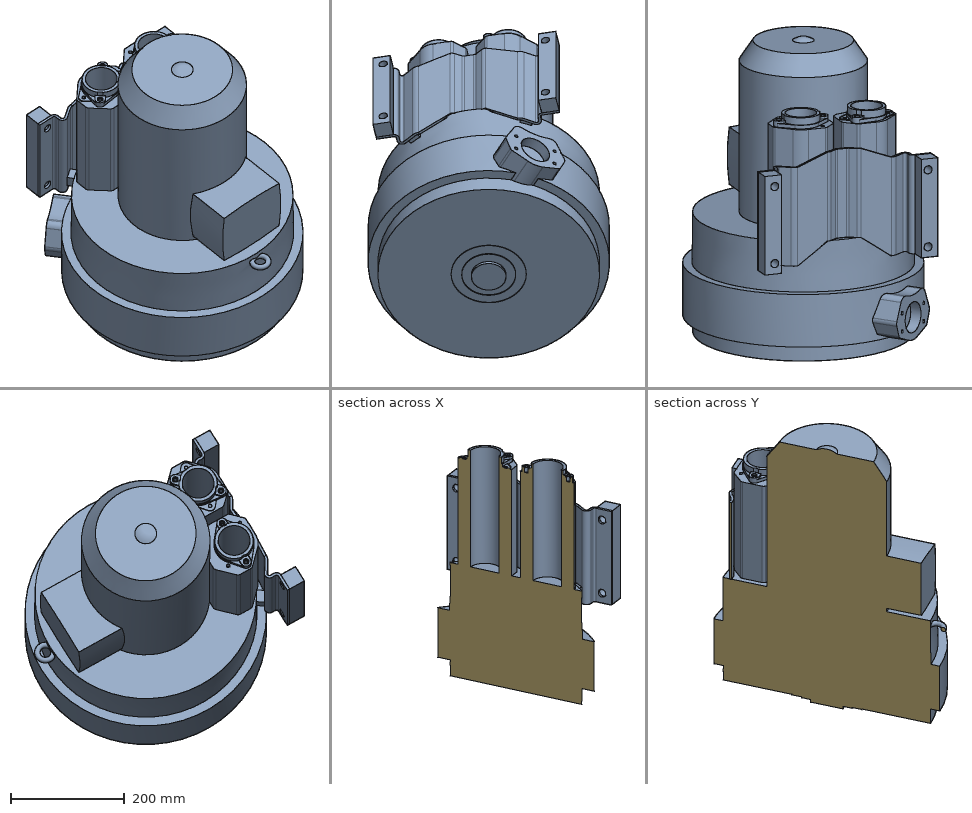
import cadquery as cq
import math


STACK = [(30.5, 5.5), (47.5, 7.0), (66.0, 8.0), (194.5, 38.5), (212.0, 134.5)]
RING_TOP_Z = STACK[-1][1]
COVER_TOP_Z = 226.5
COVER_FOOT_RADIUS = 195.5
COVER_TOP_RADIUS = 194.5
MOTOR_RADIUS = 113.0
MOTOR_SHOULDER_Z = 502.5
MOTOR_TOP_Z = 539.0
MOTOR_TOP_RADIUS = 88.5
DOME_RADIUS = 19.0
TOTAL_HEIGHT = 545.0
EDGE_MARGIN = 0.5

BOX_END_X = 177.0
BOX_CENTRE_Y = 4.5
BOX_CENTRE_Z = 289.0
BOX_HALF_WIDTH = 65.0
BOX_HALF_HEIGHT = 52.5
BOX_BULGE = 4.0
EYE_TUBE_RADIUS = 5.0
EYE_RADIUS = 14.0
EYE_X = 204.5
EYE_Z = 213.5

SILENCER_X = -143.5
SILENCER_Y = 62.0
SILENCER_TOP_Z = 431.0
SILENCER_OUTER_X = -185.0
SILENCER_INNER_X = -89.5
SILENCER_HALF_WIDTH = 54.0
INNER_CHAMFER = 31.5
NEAR_CHAMFER = 22.0
FAR_CHAMFER = 37.0
INNER_FILLET = 8.5
OUTER_FILLET = 6.5
FAR_FILLET = 36.0

PORT_RADIUS = 28.0
SCREW_DISTANCE = 41.5
SCREW_HOLE_DIAMETER = 6.0
SCREW_HOLE_DEPTH = 11.0
GASKET_THICKNESS = 1.5
FLANGE_HEIGHT = 6.5
LUG_HEIGHT = 11.0
COLLAR_HEIGHT = 19.5
COLLAR_RADIUS = 34.0
FLANGE_RADIUS = 35.5
LUG_RADIUS = 9.0
COUNTERBORE_DIAMETER = 10.0
COUNTERBORE_DEPTH = 2.5
GASKET_ANGLE = 90.0
FAR_FLANGE_ANGLE = 90.0
NEAR_FLANGE_ANGLE = 135.0
SPARE_HOLE_ANGLE = 45.0

SIDE_PORT_ANGLE = 218.2
SIDE_PORT_REACH = 241.0
SIDE_PORT_LENGTH = 76.5
SIDE_PORT_OFFSET = -32.0
SIDE_PORT_Z = 75.0
SIDE_PORT_DEPTH = 20.5
SIDE_PORT_FOOT_RADIUS = 41.5
SIDE_PORT_TOP = 45.0
TOP_HALF_WIDTH = 38.5
SHOULDER_HALF_WIDTH = 59.0
SHOULDER_HEIGHT = 1.5
HIP_HALF_WIDTH = 48.5
HIP_HEIGHT = -25.5
DIP_HALF_WIDTH = 27.0
DIP_DEPTH = 4.5
TOP_FILLET = 13.5
SHOULDER_FILLET = 11.0
HIP_FILLET = 5.5
SIDE_SCREW_ANGLE = 23.7

SHEET = 5.0
CHANNEL_X = -180.5
CHANNEL_HALF_WIDTH = 11.5
PANEL_X = -191.0
PANEL_INNER_Y = 28.5
PANEL_OUTER_Y = 93.5
LEG_END_X = -169.0
LEG_END_Y = 126.5
WING_X = -194.5
WING_END_Y = 163.5
LEG_BEND = 16.5
CHANNEL_BEND = 11.0
TIGHT_BEND = 6.5
BRACKET_BOTTOM_Z = 187.0
BRACKET_TOP_Z = 366.5
CREST_BOTTOM_Z = 226.0
CREST_TOP_Z = 388.5
CREST_HALF_WIDTH = 31.5
SLOPE_END_Y = 88.5
BLOCK_DEPTH = 30.0
BLOCK_WIDTH = 31.0
MOUNT_HOLE_DIAMETER = 14.5
MOUNT_HOLE_Y = 145.0
MOUNT_HOLE_HEIGHTS = [206.0, 346.5]
PAD_WIDTH = 22.0
PAD_HEIGHT = 20.0
PAD_LENGTH = 32.5
PAD_CENTRE_Z = 208.0
PAD_ALONG_LEG = 17.0


def cylinder(radius, bottom, top):
    """Upright cylinder on the Z axis."""
    return cq.Workplane("XY", origin=(0, 0, bottom)).circle(radius).extrude(top - bottom)


def polar_pair(distance, degrees):
    """Two opposite points at the given distance from the origin."""
    dx = distance * math.cos(math.radians(degrees))
    dy = distance * math.sin(math.radians(degrees))
    return [(dx, dy), (-dx, -dy)]


def round_edge(body, x, y, radius):
    """Fillet the edge parallel to the local Z axis that passes through (x, y)."""
    low = (x - EDGE_MARGIN, y - EDGE_MARGIN, -TOTAL_HEIGHT)
    high = (x + EDGE_MARGIN, y + EDGE_MARGIN, TOTAL_HEIGHT)
    near = cq.selectors.BoxSelector(low, high)
    return body.edges("|Z").edges(near).fillet(radius)


def pump_stack():
    """Base, ring, cover, motor and domed cap as one turned profile."""
    profile = cq.Workplane("XZ").moveTo(0, 0)
    underside = 0.0
    for radius, top in STACK:
        profile = profile.lineTo(radius, underside).lineTo(radius, top)
        underside = top
    dome_height = TOTAL_HEIGHT - MOTOR_TOP_Z
    sphere_radius = (DOME_RADIUS ** 2 + dome_height ** 2) / (2 * dome_height)
    return (
        profile.lineTo(COVER_FOOT_RADIUS, RING_TOP_Z)
        .lineTo(COVER_TOP_RADIUS, COVER_TOP_Z)
        .lineTo(MOTOR_RADIUS, COVER_TOP_Z)
        .lineTo(MOTOR_RADIUS, MOTOR_SHOULDER_Z)
        .lineTo(MOTOR_TOP_RADIUS, MOTOR_TOP_Z)
        .lineTo(DOME_RADIUS, MOTOR_TOP_Z)
        .radiusArc((0, TOTAL_HEIGHT), -sphere_radius)
        .close()
        .revolve(360, (0, 0, 0), (0, 1, 0))
    )


def terminal_box():
    """Box with bowed sides, running from the motor axis out to +X."""
    w = BOX_HALF_WIDTH
    h = BOX_HALF_HEIGHT
    return (
        cq.Workplane("YZ", origin=(0, BOX_CENTRE_Y, BOX_CENTRE_Z))
        .moveTo(-w, -h)
        .threePointArc((0, -h - BOX_BULGE), (w, -h))
        .threePointArc((w + BOX_BULGE, 0), (w, h))
        .threePointArc((0, h + BOX_BULGE), (-w, h))
        .threePointArc((-w - BOX_BULGE, 0), (-w, -h))
        .close()
        .extrude(BOX_END_X)
    )


def eye_bolt():
    centre = cq.Vector(EYE_X, 0, EYE_Z)
    return cq.Workplane(cq.Solid.makeTorus(EYE_RADIUS, EYE_TUBE_RADIUS, centre, cq.Vector(0, 0, 1)))


def silencer_housing(side):
    """Eight-sided column; side is +1 for the +Y silencer and -1 for its mirror image."""
    near_y = SILENCER_Y - SILENCER_HALF_WIDTH
    far_y = SILENCER_Y + SILENCER_HALF_WIDTH
    corners = [
        (SILENCER_OUTER_X, far_y - FAR_CHAMFER, FAR_FILLET),
        (SILENCER_OUTER_X + FAR_CHAMFER, far_y, OUTER_FILLET),
        (SILENCER_INNER_X - INNER_CHAMFER, far_y, INNER_FILLET),
        (SILENCER_INNER_X, far_y - INNER_CHAMFER, INNER_FILLET),
        (SILENCER_INNER_X, near_y + INNER_CHAMFER, INNER_FILLET),
        (SILENCER_INNER_X - INNER_CHAMFER, near_y, INNER_FILLET),
        (SILENCER_OUTER_X + NEAR_CHAMFER, near_y, OUTER_FILLET),
        (SILENCER_OUTER_X, near_y + NEAR_CHAMFER, OUTER_FILLET),
    ]
    outline = [(x, side * y) for x, y, _ in corners]
    height = SILENCER_TOP_Z - COVER_TOP_Z
    housing = cq.Workplane("XY", origin=(0, 0, COVER_TOP_Z)).polyline(outline).close().extrude(height)
    for x, y, radius in corners:
        housing = round_edge(housing, x, side * y, radius)
    return housing


def lugged_plate(thickness, degrees):
    """Round plate drawn out to two lugs by tangent lines, centred on the Z axis."""
    lean = math.acos((FLANGE_RADIUS - LUG_RADIUS) / SCREW_DISTANCE)
    plate_x = FLANGE_RADIUS * math.cos(lean)
    plate_y = FLANGE_RADIUS * math.sin(lean)
    lug_x = SCREW_DISTANCE + LUG_RADIUS * math.cos(lean)
    lug_y = LUG_RADIUS * math.sin(lean)
    tip_x = SCREW_DISTANCE + LUG_RADIUS
    return (
        cq.Workplane("XY")
        .moveTo(plate_x, plate_y)
        .threePointArc((0, FLANGE_RADIUS), (-plate_x, plate_y))
        .lineTo(-lug_x, lug_y)
        .threePointArc((-tip_x, 0), (-lug_x, -lug_y))
        .lineTo(-plate_x, -plate_y)
        .threePointArc((0, -FLANGE_RADIUS), (plate_x, -plate_y))
        .lineTo(lug_x, -lug_y)
        .threePointArc((tip_x, 0), (lug_x, lug_y))
        .close()
        .extrude(thickness)
        .rotate((0, 0, 0), (0, 0, 1), degrees)
    )


def screw_pair(diameter, bottom, top, degrees):
    """Two upright cylinders at the screw places on either side of the Z axis."""
    return (
        cq.Workplane("XY", origin=(0, 0, bottom))
        .pushPoints(polar_pair(SCREW_DISTANCE, degrees))
        .circle(diameter / 2)
        .extrude(top - bottom)
    )


def silencer_flange(degrees):
    """Gasket, flange, raised lugs and collar, standing on z = 0 around the Z axis."""
    gasket_holes = screw_pair(SCREW_HOLE_DIAMETER, 0, GASKET_THICKNESS, GASKET_ANGLE)
    gasket = lugged_plate(GASKET_THICKNESS, GASKET_ANGLE).cut(gasket_holes)
    lugs = (
        cq.Workplane("XY")
        .slot2D(2 * (SCREW_DISTANCE + LUG_RADIUS), 2 * LUG_RADIUS)
        .extrude(LUG_HEIGHT)
        .rotate((0, 0, 0), (0, 0, 1), degrees)
    )
    head_clearance = screw_pair(2 * LUG_RADIUS, LUG_HEIGHT, COLLAR_HEIGHT, degrees)
    counterbores = screw_pair(COUNTERBORE_DIAMETER, LUG_HEIGHT - COUNTERBORE_DEPTH, LUG_HEIGHT, degrees)
    return (
        gasket.union(lugged_plate(FLANGE_HEIGHT, degrees))
        .union(lugs)
        .union(cylinder(COLLAR_RADIUS, 0, COLLAR_HEIGHT))
        .cut(head_clearance)
        .cut(counterbores)
        .cut(screw_pair(SCREW_HOLE_DIAMETER, 0, LUG_HEIGHT, degrees))
    )


def silencer(side, flange_angle):
    """Housing with its port flange; the bore runs down to the pump cover."""
    place = (SILENCER_X, side * SILENCER_Y, SILENCER_TOP_Z)
    spare_holes = screw_pair(SCREW_HOLE_DIAMETER, -SCREW_HOLE_DEPTH, 0, side * SPARE_HOLE_ANGLE)
    bore = cylinder(PORT_RADIUS, COVER_TOP_Z - SILENCER_TOP_Z, COLLAR_HEIGHT)
    return (
        silencer_housing(side)
        .cut(spare_holes.translate(place))
        .union(silencer_flange(flange_angle).translate(place))
        .cut(bore.translate(place))
    )


def place_side_port(shape):
    """Move a shape from the XY plane onto the face of the side port, keeping local Y upright."""
    turn = math.radians(SIDE_PORT_ANGLE)
    outward = cq.Vector(math.cos(turn), math.sin(turn), 0)
    sideways = cq.Vector(-math.sin(turn), math.cos(turn), 0)
    centre = outward * SIDE_PORT_REACH + sideways * SIDE_PORT_OFFSET + cq.Vector(0, 0, SIDE_PORT_Z)
    face = cq.Plane(origin=centre, xDir=sideways, normal=outward)
    return cq.Workplane(shape.val().moved(cq.Location(face)))


def side_port():
    """Block with a dipped top and a round foot concentric with the port."""
    hip_reach = math.hypot(HIP_HALF_WIDTH, HIP_HEIGHT)
    hip_angle = math.atan2(HIP_HEIGHT, HIP_HALF_WIDTH)
    tangent_angle = hip_angle - math.acos(SIDE_PORT_FOOT_RADIUS / hip_reach)
    foot_x = SIDE_PORT_FOOT_RADIUS * math.cos(tangent_angle)
    foot_y = SIDE_PORT_FOOT_RADIUS * math.sin(tangent_angle)
    block = (
        cq.Workplane("XY")
        .moveTo(-DIP_HALF_WIDTH, SIDE_PORT_TOP)
        .threePointArc((0, SIDE_PORT_TOP - DIP_DEPTH), (DIP_HALF_WIDTH, SIDE_PORT_TOP))
        .lineTo(TOP_HALF_WIDTH, SIDE_PORT_TOP)
        .lineTo(SHOULDER_HALF_WIDTH, SHOULDER_HEIGHT)
        .lineTo(HIP_HALF_WIDTH, HIP_HEIGHT)
        .lineTo(foot_x, foot_y)
        .threePointArc((0, -SIDE_PORT_FOOT_RADIUS), (-foot_x, foot_y))
        .lineTo(-HIP_HALF_WIDTH, HIP_HEIGHT)
        .lineTo(-SHOULDER_HALF_WIDTH, SHOULDER_HEIGHT)
        .lineTo(-TOP_HALF_WIDTH, SIDE_PORT_TOP)
        .close()
        .extrude(-SIDE_PORT_LENGTH)
    )
    for side in (-1, 1):
        block = round_edge(block, side * TOP_HALF_WIDTH, SIDE_PORT_TOP, TOP_FILLET)
        block = round_edge(block, side * SHOULDER_HALF_WIDTH, SHOULDER_HEIGHT, SHOULDER_FILLET)
        block = round_edge(block, side * HIP_HALF_WIDTH, HIP_HEIGHT, HIP_FILLET)
    block = block.cut(cylinder(PORT_RADIUS, -SIDE_PORT_DEPTH, 0))
    for degrees in (SIDE_SCREW_ANGLE, -SIDE_SCREW_ANGLE):
        block = block.cut(screw_pair(SCREW_HOLE_DIAMETER, -SCREW_HOLE_DEPTH, 0, degrees))
    return place_side_port(block)


def bracket_pads():
    """Two mirrored pads that join the pump cover to the sloping legs of the bracket."""
    leg_angle = math.atan2(LEG_END_Y - PANEL_OUTER_Y, LEG_END_X - PANEL_X)
    x = PANEL_X + PAD_ALONG_LEG * math.cos(leg_angle)
    y = PANEL_OUTER_Y + PAD_ALONG_LEG * math.sin(leg_angle)
    pad = (
        cq.Workplane("XY", origin=(0, -PAD_LENGTH / 2, PAD_CENTRE_Z))
        .box(PAD_WIDTH, PAD_LENGTH, PAD_HEIGHT)
        .rotate((0, 0, 0), (0, 0, 1), math.degrees(leg_angle))
        .translate((x, y, 0))
    )
    return [pad, pad.mirror("XZ")]


def make_pump():
    pump = pump_stack().union(terminal_box()).union(eye_bolt()).union(side_port())
    pump = pump.union(silencer(1, FAR_FLANGE_ANGLE)).union(silencer(-1, NEAR_FLANGE_ANGLE))
    for pad in bracket_pads():
        pump = pump.union(pad)
    return pump


def offset_path(points, distance):
    """Points of an open path shifted to its left by the distance, with mitred corners."""
    headings = []
    for start, end in zip(points, points[1:]):
        headings.append(math.atan2(end[1] - start[1], end[0] - start[0]))
    before = [headings[0]] + headings
    after = headings + [headings[-1]]
    shifted = []
    for (x, y), heading_in, heading_out in zip(points, before, after):
        half_turn = math.remainder(heading_out - heading_in, 2 * math.pi) / 2
        normal = heading_in + half_turn + math.pi / 2
        reach = distance / math.cos(half_turn)
        shifted.append((x + reach * math.cos(normal), y + reach * math.sin(normal)))
    return shifted


def bent_sheet():
    """Sheet along the bracket path, over the full height of the bracket."""
    half_path = [
        (CHANNEL_X, CHANNEL_HALF_WIDTH, CHANNEL_BEND),
        (PANEL_X, PANEL_INNER_Y, CHANNEL_BEND),
        (PANEL_X, PANEL_OUTER_Y, LEG_BEND),
        (LEG_END_X, LEG_END_Y, TIGHT_BEND),
        (WING_X, LEG_END_Y, TIGHT_BEND),
        (WING_X, WING_END_Y, 0),
    ]
    path = [(x, -y, bend) for x, y, bend in reversed(half_path)] + half_path
    points = [(x, y) for x, y, _ in path]
    bends = [bend for _, _, bend in path]
    left = offset_path(points, SHEET / 2)
    right = offset_path(points, -SHEET / 2)
    sheet = (
        cq.Workplane("XY", origin=(0, 0, BRACKET_BOTTOM_Z))
        .polyline(left + right[::-1])
        .close()
        .extrude(CREST_TOP_Z - BRACKET_BOTTOM_Z)
    )
    for i in range(1, len(path) - 1):
        run_in = cq.Vector(*points[i]) - cq.Vector(*points[i - 1])
        run_out = cq.Vector(*points[i + 1]) - cq.Vector(*points[i])
        turns_left = run_in.cross(run_out).z > 0
        growth = -SHEET / 2 if turns_left else SHEET / 2
        sheet = round_edge(sheet, *left[i], bends[i] + growth)
        sheet = round_edge(sheet, *right[i], bends[i] - growth)
    return sheet


def mount_holes():
    """Four round cutters along X, through the blocks and the wings of the bracket."""
    places = [(side * MOUNT_HOLE_Y, z) for side in (-1, 1) for z in MOUNT_HOLE_HEIGHTS]
    start_x = WING_X - SHEET / 2 - BLOCK_DEPTH
    return (
        cq.Workplane("YZ", origin=(start_x, 0, 0))
        .pushPoints(places)
        .circle(MOUNT_HOLE_DIAMETER / 2)
        .extrude(BLOCK_DEPTH + SHEET)
    )


def make_bracket():
    """Bent sheet trimmed to its sloping top and bottom edges, with the mounting holes."""
    silhouette = [
        (-WING_END_Y, BRACKET_BOTTOM_Z),
        (-SLOPE_END_Y, BRACKET_BOTTOM_Z),
        (-CREST_HALF_WIDTH, CREST_BOTTOM_Z),
        (CREST_HALF_WIDTH, CREST_BOTTOM_Z),
        (SLOPE_END_Y, BRACKET_BOTTOM_Z),
        (WING_END_Y, BRACKET_BOTTOM_Z),
        (WING_END_Y, BRACKET_TOP_Z),
        (SLOPE_END_Y, BRACKET_TOP_Z),
        (CREST_HALF_WIDTH, CREST_TOP_Z),
        (-CREST_HALF_WIDTH, CREST_TOP_Z),
        (-SLOPE_END_Y, BRACKET_TOP_Z),
        (-WING_END_Y, BRACKET_TOP_Z),
    ]
    trim = cq.Workplane("YZ").polyline(silhouette).close().extrude(2 * WING_X)
    return bent_sheet().intersect(trim).cut(mount_holes())


def make_block(side):
    """Square mounting block on the outer face of one bracket wing."""
    outer_face_x = WING_X - SHEET / 2
    y = side * (WING_END_Y - BLOCK_WIDTH / 2)
    return (
        cq.Workplane("XY", origin=(outer_face_x - BLOCK_DEPTH / 2, y, BRACKET_BOTTOM_Z))
        .rect(BLOCK_DEPTH, BLOCK_WIDTH)
        .extrude(BRACKET_TOP_Z - BRACKET_BOTTOM_Z)
        .cut(mount_holes())
    )


bracket = make_bracket()
pump = make_pump().cut(bracket)
blocks = [make_block(side) for side in (-1, 1)]

bodies = [pump, bracket, *blocks]
result = cq.Compound.makeCompound([solid for body in bodies for solid in body.solids().vals()])